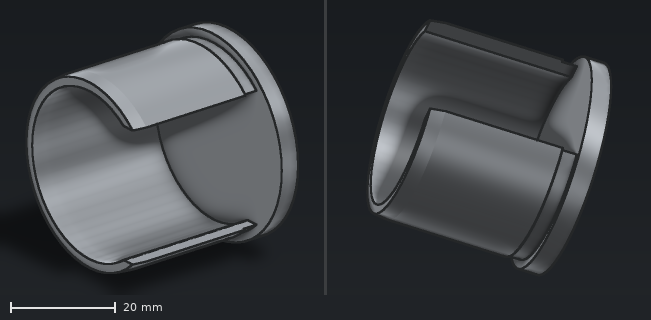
import cadquery as cq

flange_radius = 21.2
flange_thickness = 4.0
body_radius = 19.7
relief_radius = 19.38
relief_length = 3.0
body_length = 24.0
tip_radius = 19.38
taper_length = 3.0
bore_radius = 17.55
opening_height = 28.0

sleeve_length = relief_length + body_length + taper_length

relief_end = -relief_length
body_end = relief_end - body_length
tip_end = -sleeve_length


def make_flange():
    """Solid disc closing the +Y end of the sleeve."""
    return cq.Workplane("XZ").circle(flange_radius).extrude(-flange_thickness)


def make_sleeve():
    """Tube with a relief next to the flange and a tapered free end."""
    profile = (
        cq.Workplane("XY")
        .moveTo(bore_radius, 0)
        .lineTo(relief_radius, 0)
        .lineTo(relief_radius, relief_end)
        .lineTo(body_radius, relief_end)
        .lineTo(body_radius, body_end)
        .lineTo(tip_radius, tip_end)
        .lineTo(bore_radius, tip_end)
        .close()
    )
    return profile.revolve(360, (0, 0, 0), (0, 1, 0))


def make_side_opening():
    """Box that opens the sleeve wall on the +X side, with level edges."""
    return cq.Workplane("XY").box(
        flange_radius, sleeve_length, opening_height, centered=(False, False, True)
    ).translate((0, -sleeve_length, 0))


open_sleeve = make_sleeve().cut(make_side_opening())
result = make_flange().union(open_sleeve)